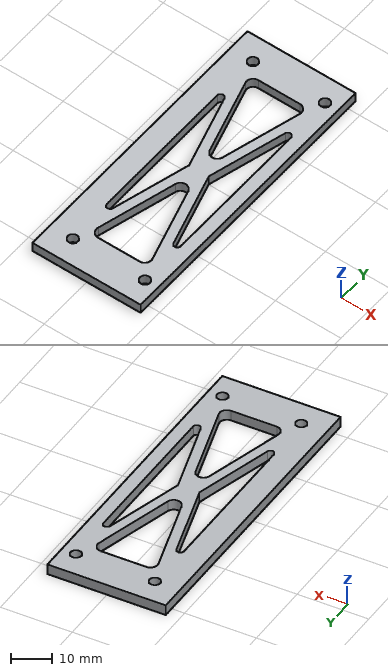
import cadquery as cq

PLATE_WIDTH = 33.0
PLATE_LENGTH = 86.0
PLATE_THICKNESS = 3.0

PATTERN_X = 1.5

HOLE_DIAMETER = 3.0
HOLE_SPACING_X = 22.0
HOLE_SPACING_Y = 72.0

WINDOW_HALF_WIDTH = 9.0
WINDOW_LENGTH = 32.0
WINDOW_FILLET = 2.0

BRACE_WIDTH_X = 3.0
SIDE_WINDOW_OUTER_X = 11.25
SIDE_WINDOW_FILLET = 1.0

BRACE_SLOPE = WINDOW_LENGTH / WINDOW_HALF_WIDTH
SIDE_WINDOW_HALF_LENGTH = (SIDE_WINDOW_OUTER_X - BRACE_WIDTH_X) * BRACE_SLOPE


def make_plate():
    return cq.Workplane("XY").box(
        PLATE_WIDTH, PLATE_LENGTH, PLATE_THICKNESS, centered=(True, True, False)
    )


def pattern_plane():
    return cq.Workplane("XY", origin=(PATTERN_X, 0, 0))


def make_holes():
    return (
        pattern_plane()
        .rect(HOLE_SPACING_X, HOLE_SPACING_Y, forConstruction=True)
        .vertices()
        .circle(HOLE_DIAMETER / 2)
        .extrude(PLATE_THICKNESS)
    )


def make_end_window(side):
    """Triangular window toward +Y (side = 1) or -Y (side = -1), all corners rounded."""
    end_y = side * WINDOW_LENGTH
    outline = [(0, 0), (WINDOW_HALF_WIDTH, end_y), (-WINDOW_HALF_WIDTH, end_y)]
    prism = pattern_plane().polyline(outline).close().extrude(PLATE_THICKNESS)
    return prism.edges("|Z").fillet(WINDOW_FILLET)


def make_side_window(side):
    """Slim window toward +X (side = 1) or -X (side = -1), rounded at its two sharp ends."""
    outer_x = side * SIDE_WINDOW_OUTER_X
    outline = [
        (side * BRACE_WIDTH_X, 0),
        (outer_x, SIDE_WINDOW_HALF_LENGTH),
        (outer_x, -SIDE_WINDOW_HALF_LENGTH),
    ]
    prism = pattern_plane().polyline(outline).close().extrude(PLATE_THICKNESS)
    sharp_ends = prism.edges("|Z and (>Y or <Y)")
    return sharp_ends.fillet(SIDE_WINDOW_FILLET)


result = make_plate().cut(make_holes())
for side in (1, -1):
    result = result.cut(make_end_window(side))
    result = result.cut(make_side_window(side))